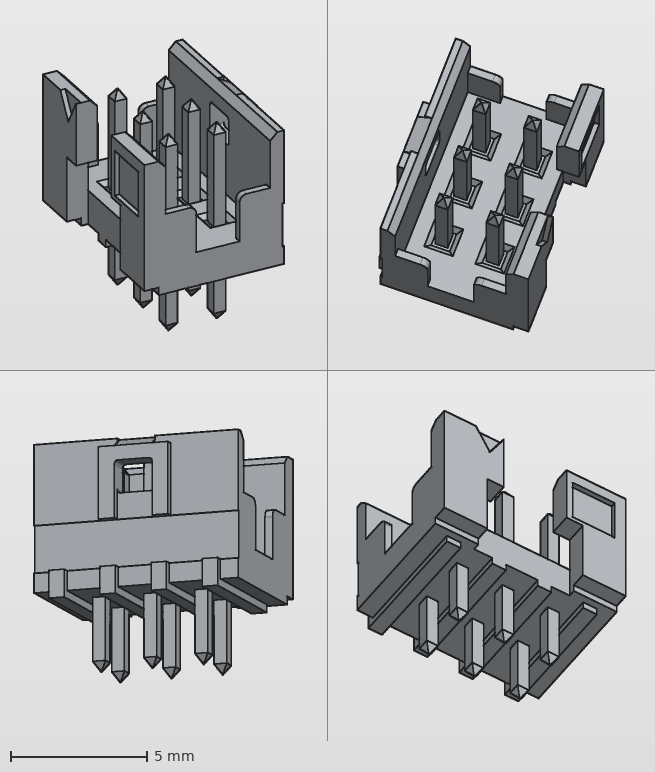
import cadquery as cq

WIDTH = 8.0
DEPTH = 6.1
TOTAL_HEIGHT = 8.35
HOUSING_HEIGHT = 5.57

FRONT_Y = -DEPTH / 2
REAR_Y = DEPTH / 2
SIDE_WALL = 0.3
REAR_RELIEF = 0.3
REAR_FACE_Y = REAR_Y - REAR_RELIEF
CAVITY_HALF_DEPTH = 2.17
FLOOR_Z = 1.4
SIDE_WALL_TOP_Z = 3.315
RIM_CHAMFER = 0.3
FRONT_STEP_DEPTH = 0.6
FRONT_STEP_HEIGHT = 0.32
REAR_RECESS_BOTTOM_Z = 0.74
REAR_RECESS_TOP_Z = 2.53
REAR_RECESS_DEPTH = 0.07

SIDE_SLOT_WIDTH = 1.8
SIDE_SLOT_ROUND = 0.3
FRONT_GAP_TOP_WIDTH = 2.76
FRONT_GAP_BOTTOM_WIDTH = 4.21
FRONT_GAP_STEP_Z = 3.0
WINDOW_WIDTH = 1.48
WINDOW_BOTTOM_Z = 3.515
WINDOW_TOP_Z = 4.69
WINDOW_ROUND = 0.15

LATCH_WIDTH = 2.72
LATCH_TOP_Z = 5.24
LATCH_RAMP_WIDTH = WINDOW_WIDTH

MARK_DEPTH = 0.2
TRIANGLE_WIDTH = 1.22
TRIANGLE_HEIGHT = 1.035
SQUARE_SIDE = 1.86
SQUARE_X = 2.58
SQUARE_Z = 4.125

PITCH = 2.0
PIN_COLUMNS = 3
PIN_ROWS = 2
PIN_SIDE = 0.5
PIN_TOP_Z = 5.43
PIN_BOTTOM_Z = HOUSING_HEIGHT - TOTAL_HEIGHT
PIN_POINT = 0.38
POCKET_TOP_SIDE = 1.13
POCKET_BOTTOM_SIDE = 0.73
POCKET_DEPTH = 0.2

FOOT_WIDTH = 0.6
FOOT_HEIGHT = 0.3

pin_columns_x = [PITCH * (i - (PIN_COLUMNS - 1) / 2) for i in range(PIN_COLUMNS)]
pin_rows_y = [PITCH * (i - (PIN_ROWS - 1) / 2) for i in range(PIN_ROWS)]
feet_x = [PITCH * (i - PIN_COLUMNS / 2) for i in range(PIN_COLUMNS + 1)]


def block(x_range, y_range, z_range):
    """Box spanning the given (low, high) pairs."""
    size = [high - low for low, high in (x_range, y_range, z_range)]
    corner = (x_range[0], y_range[0], z_range[0])
    return cq.Workplane("XY").box(*size, centered=False).translate(corner)


def centred(width):
    """(low, high) pair of a width centred on zero."""
    return (-width / 2, width / 2)


def side_profile(points, width):
    """Extrude a (y, z) outline along X, centred on X = 0."""
    return cq.Workplane("YZ").polyline(points).close().extrude(width / 2, both=True)


def front_profile(points, y_front, y_rear):
    """Extrude an (x, z) outline along Y."""
    outline = cq.Workplane("XZ", origin=(0, y_rear, 0)).polyline(points).close()
    return outline.extrude(y_rear - y_front)


def housing_shell():
    """Floor with chamfered front and rear walls, and low side walls that close the ends."""
    recess_y = REAR_FACE_Y - REAR_RECESS_DEPTH
    step_y = FRONT_Y + FRONT_STEP_DEPTH
    chamfer_z = HOUSING_HEIGHT - RIM_CHAMFER
    walls = side_profile(
        [
            (step_y, 0),
            (REAR_FACE_Y, 0),
            (REAR_FACE_Y, REAR_RECESS_BOTTOM_Z),
            (recess_y, REAR_RECESS_BOTTOM_Z),
            (recess_y, REAR_RECESS_TOP_Z),
            (REAR_FACE_Y, REAR_RECESS_TOP_Z),
            (REAR_FACE_Y, HOUSING_HEIGHT),
            (CAVITY_HALF_DEPTH + RIM_CHAMFER, HOUSING_HEIGHT),
            (CAVITY_HALF_DEPTH, chamfer_z),
            (CAVITY_HALF_DEPTH, FLOOR_Z),
            (-CAVITY_HALF_DEPTH, FLOOR_Z),
            (-CAVITY_HALF_DEPTH, chamfer_z),
            (-CAVITY_HALF_DEPTH - RIM_CHAMFER, HOUSING_HEIGHT),
            (FRONT_Y, HOUSING_HEIGHT),
            (FRONT_Y, FRONT_STEP_HEIGHT),
            (step_y, FRONT_STEP_HEIGHT),
        ],
        WIDTH,
    )
    ends = block(centred(WIDTH), centred(2 * CAVITY_HALF_DEPTH), (FLOOR_Z, SIDE_WALL_TOP_Z))
    slot = block(centred(WIDTH), centred(SIDE_SLOT_WIDTH), (FLOOR_Z, SIDE_WALL_TOP_Z))
    ends = ends.cut(slot)
    slot_rims = cq.selectors.BoxSelector(
        (-WIDTH, -SIDE_SLOT_WIDTH / 2 - SIDE_SLOT_ROUND, SIDE_WALL_TOP_Z - SIDE_SLOT_ROUND),
        (WIDTH, SIDE_SLOT_WIDTH / 2 + SIDE_SLOT_ROUND, SIDE_WALL_TOP_Z + SIDE_SLOT_ROUND),
    )
    ends = ends.edges("|X").edges(slot_rims).fillet(SIDE_SLOT_ROUND)
    cavity = block(
        centred(WIDTH - 2 * SIDE_WALL), centred(2 * CAVITY_HALF_DEPTH), (FLOOR_Z, SIDE_WALL_TOP_Z)
    )
    return walls.union(ends.cut(cavity))


def front_gap():
    """Stepped opening that splits the front wall into two panels."""
    y_range = (FRONT_Y, -CAVITY_HALF_DEPTH)
    lower = block(centred(FRONT_GAP_BOTTOM_WIDTH), y_range, (0, FRONT_GAP_STEP_Z))
    upper = block(centred(FRONT_GAP_TOP_WIDTH), y_range, (FRONT_GAP_STEP_Z, HOUSING_HEIGHT))
    return lower.union(upper)


def front_marks():
    """Triangular pin-one mark and square recess in the front panels."""
    tip_x = pin_columns_x[0]
    y_range = (FRONT_Y, FRONT_Y + MARK_DEPTH)
    triangle = front_profile(
        [
            (tip_x - TRIANGLE_WIDTH / 2, HOUSING_HEIGHT),
            (tip_x + TRIANGLE_WIDTH / 2, HOUSING_HEIGHT),
            (tip_x, HOUSING_HEIGHT - TRIANGLE_HEIGHT),
        ],
        *y_range,
    )
    half = SQUARE_SIDE / 2
    square = block((SQUARE_X - half, SQUARE_X + half), y_range, (SQUARE_Z - half, SQUARE_Z + half))
    return triangle.union(square)


def add_latch(housing):
    """Rear latch with two legs, a ramp sunk into the wall rim and a window between the legs."""
    ramp_start_y = CAVITY_HALF_DEPTH + RIM_CHAMFER
    latch = block(
        centred(LATCH_WIDTH), (REAR_FACE_Y, REAR_Y), (REAR_RECESS_TOP_Z, LATCH_TOP_Z)
    )
    ramp = side_profile(
        [(ramp_start_y, HOUSING_HEIGHT), (REAR_Y, LATCH_TOP_Z), (ramp_start_y, LATCH_TOP_Z)],
        LATCH_RAMP_WIDTH,
    )
    above_ramp = side_profile(
        [(ramp_start_y, HOUSING_HEIGHT), (REAR_Y, HOUSING_HEIGHT), (REAR_Y, LATCH_TOP_Z)],
        LATCH_RAMP_WIDTH,
    )
    leg_gap = block(
        centred(WINDOW_WIDTH), (REAR_FACE_Y, REAR_Y), (REAR_RECESS_TOP_Z, WINDOW_TOP_Z)
    )
    leg_gap = leg_gap.edges("|Y").edges(">Z").fillet(WINDOW_ROUND)
    window = block(
        centred(WINDOW_WIDTH), (CAVITY_HALF_DEPTH, REAR_FACE_Y), (WINDOW_BOTTOM_Z, WINDOW_TOP_Z)
    )
    window = window.edges("|Y").fillet(WINDOW_ROUND)
    latch = latch.cut(leg_gap)
    return housing.union(latch).union(ramp).cut(above_ramp).cut(window)


def foot(x):
    """L-shaped foot that runs under the housing and turns up its rear face."""
    profile = [
        (-CAVITY_HALF_DEPTH, 0),
        (-CAVITY_HALF_DEPTH, -FOOT_HEIGHT),
        (REAR_Y, -FOOT_HEIGHT),
        (REAR_Y, REAR_RECESS_BOTTOM_Z),
        (REAR_FACE_Y, REAR_RECESS_BOTTOM_Z),
        (REAR_FACE_Y, 0),
    ]
    return side_profile(profile, FOOT_WIDTH).translate((x, 0, 0))


def lead_in_pocket():
    """Square pocket that narrows downward from the cavity floor."""
    mouth = cq.Workplane("XY", origin=(0, 0, FLOOR_Z)).rect(POCKET_TOP_SIDE, POCKET_TOP_SIDE)
    base = mouth.workplane(offset=-POCKET_DEPTH).rect(POCKET_BOTTOM_SIDE, POCKET_BOTTOM_SIDE)
    return base.loft(ruled=True)


def square_point(base_z, tip_z):
    """Sharp pyramid on the end of a pin."""
    half = PIN_SIDE / 2
    square = ((-half, -half), (half, -half), (half, half), (-half, half))
    corners = [cq.Vector(x, y, base_z) for x, y in square]
    tip = cq.Vector(0, 0, tip_z)
    triangles = [[corners[i - 1], corners[i], tip] for i in range(len(corners))]
    faces = [cq.Face.makeFromWires(cq.Wire.makePolygon(loop, close=True)) for loop in [corners] + triangles]
    return cq.Workplane(cq.Solid.makeSolid(cq.Shell.makeShell(faces)))


def pin():
    """Square pin, pointed at both ends."""
    shaft_bottom_z = PIN_BOTTOM_Z + PIN_POINT
    shaft_top_z = PIN_TOP_Z - PIN_POINT
    shaft = block(centred(PIN_SIDE), centred(PIN_SIDE), (shaft_bottom_z, shaft_top_z))
    top_point = square_point(shaft_top_z, PIN_TOP_Z)
    return shaft.union(top_point).union(square_point(shaft_bottom_z, PIN_BOTTOM_Z))


result = add_latch(housing_shell().cut(front_gap()).cut(front_marks()))

for foot_x in feet_x:
    result = result.union(foot(foot_x))

for pin_x in pin_columns_x:
    for pin_y in pin_rows_y:
        place = (pin_x, pin_y, 0)
        result = result.cut(lead_in_pocket().translate(place))
        result = result.union(pin().translate(place))